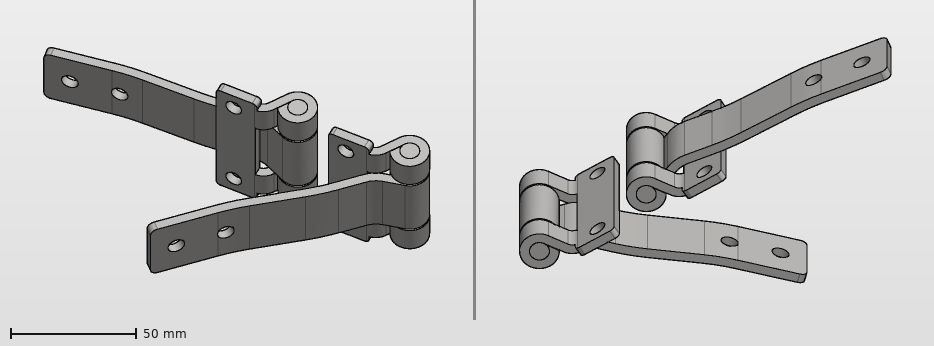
import cadquery as cq
import math


hinge_pitch = 50.0
swing_angles = [8.7, 45.8]

sheet = 4.0
pin_radius = 4.0
eye_radius = pin_radius + sheet
eye_gap = 0.2
hole_diameter = 7.0
through = 4 * eye_radius

leaf_height = 60.0
leaf_back = 31.9
leaf_shoulder = 13.8
leaf_opening_start = 14.5
leaf_bend_start = 14.8
leaf_bend_inner = 4.0
leaf_offset = 7.0
leaf_corner = 2.0
leaf_hole_x = 24.1
leaf_hole_spacing = 45.0
knuckle_span = 52.5
knuckle_opening = 29.4

strap_width = 27.5
strap_corner = 3.0
strap_end_length = 28.5
strap_flat_length = 23.0
strap_rise_length = 12.0
strap_tail_length = 9.3
strap_bend_inner = 99.7
strap_bend_angle = 7.5
tail_bend_inner = 11.3
tail_bend_angle = 32.7
strap_hole_edge = 11.0
strap_hole_spacing = 21.0


def unit(angle):
    """Unit vector in the XY plane at an angle in degrees."""
    return cq.Vector(math.cos(math.radians(angle)), math.sin(math.radians(angle)))


def bent_path(start, moves):
    """Middle line of a bent sheet, leaving start along +X; returns it with its end and end heading.

    Each move is (length, 0) for a straight or (inner radius, turn) for a bend.
    Turns are in degrees, positive to the left.
    """
    path = cq.Workplane("XY").moveTo(start.x, start.y)
    point = start
    heading = 0
    for size, turn in moves:
        if turn == 0:
            point = point + unit(heading) * size
            path = path.lineTo(point.x, point.y)
        else:
            inward = math.copysign(90, turn)
            radius = size + sheet / 2
            centre = point + unit(heading + inward) * radius
            halfway = centre - unit(heading + turn / 2 + inward) * radius
            heading += turn
            point = centre - unit(heading + inward) * radius
            path = path.threePointArc(halfway.toTuple()[:2], point.toTuple()[:2])
    return path, point, heading


def bent_sheet(path, start, height):
    """Sheet of the given height, centred on Z = 0, along a path that leaves start along +X."""
    section = cq.Workplane("YZ", origin=start.toTuple()).rect(sheet, height)
    return section.sweep(path)


def roll_eye(strip, heading, pin_side, height):
    """Roll the strip that arrives at the Z axis into an eye; pin_side is 1 for left, -1 for right."""
    eye = cq.Workplane("XY").cylinder(height, eye_radius)
    bore = cq.Workplane("XY").cylinder(height, pin_radius)
    slit = (
        cq.Workplane("XY")
        .box(eye_radius, eye_gap, height)
        .translate((-eye_radius / 2, -pin_side * (pin_radius - eye_gap / 2), 0))
        .rotate((0, 0, 0), (0, 0, 1), heading)
    )
    return strip.union(eye).cut(bore).cut(slit)


def side_block(x_min, x_max, height):
    """Tall cutting block between two X positions, centred on the other axes."""
    block = cq.Workplane("XY").box(x_max - x_min, through, height)
    return block.translate(((x_min + x_max) / 2, 0, 0))


def cross_holes(points):
    """Screw hole cutters along Y at (x, z) points."""
    start = cq.Workplane("XZ", origin=(0, through / 2, 0))
    return start.pushPoints(points).circle(hole_diameter / 2).extrude(through)


def make_leaf():
    bend_outer = leaf_bend_inner + sheet
    centre_y = bend_outer - sheet / 2 - leaf_offset
    centre_distance = math.hypot(leaf_bend_start, centre_y)
    tangent_offset = pin_radius + bend_outer
    slope = math.degrees(
        math.asin(tangent_offset / centre_distance) + math.atan2(-centre_y, leaf_bend_start)
    )
    run = math.sqrt(centre_distance**2 - tangent_offset**2)

    start = cq.Vector(-leaf_back, -leaf_offset)
    moves = [(leaf_back - leaf_bend_start, 0), (leaf_bend_inner, slope), (run, 0)]
    path, _, heading = bent_path(start, moves)
    leaf = roll_eye(bent_sheet(path, start, leaf_height), heading, -1, leaf_height)

    plate = side_block(-leaf_back, -leaf_shoulder, leaf_height).edges("|Y").fillet(leaf_corner)
    band = side_block(-leaf_shoulder - leaf_corner, eye_radius, knuckle_span)
    opening = side_block(-leaf_opening_start, eye_radius, knuckle_opening)
    leaf = leaf.intersect(plate.union(band)).cut(opening)

    hole_z = leaf_hole_spacing / 2
    return leaf.cut(cross_holes([(-leaf_hole_x, -hole_z), (-leaf_hole_x, hole_z)]))


def make_strap(swing):
    start = cq.Vector(0, 0)
    moves = [
        (strap_end_length, 0),
        (strap_bend_inner, -strap_bend_angle),
        (strap_flat_length, 0),
        (strap_bend_inner, strap_bend_angle),
        (strap_rise_length, 0),
        (tail_bend_inner, -tail_bend_angle),
        (strap_tail_length, 0),
    ]
    path, end, heading = bent_path(start, moves)
    strip = bent_sheet(path, start, strap_width)
    strip = strip.faces("<X").edges("|Y").fillet(strap_corner)
    second_hole = strap_hole_edge + strap_hole_spacing
    strip = strip.cut(cross_holes([(strap_hole_edge, 0), (second_hole, 0)]))

    pin_centre = end + unit(heading + 90) * (pin_radius + sheet / 2)
    strap = roll_eye(strip.translate(-pin_centre), heading, 1, strap_width)
    return strap.rotate((0, 0, 0), (0, 0, 1), swing)


def make_pin():
    return cq.Workplane("XY").cylinder(knuckle_span, pin_radius)


leaves = []
straps = []
pins = []
for index, swing in enumerate(swing_angles):
    position = (index * hinge_pitch, 0, 0)
    leaves.append(make_leaf().translate(position).solids().val())
    straps.append(make_strap(swing).translate(position).solids().val())
    pins.append(make_pin().translate(position).solids().val())

result = cq.Compound.makeCompound([*leaves, *straps, *pins])